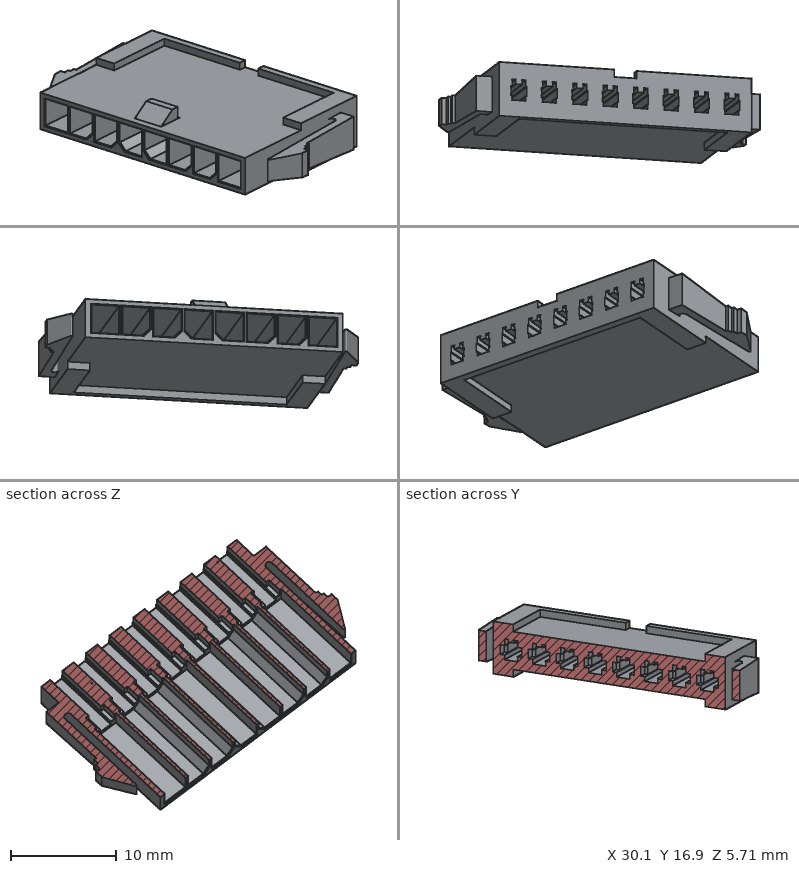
import cadquery as cq


body_width = 24.88
body_length = 16.9
body_height = 3.8
flange_height = 5.23
flange_length = 8.4
flange_side_width = 2.15
rear_rail_width = 0.8
rear_rail_gap = 2.22

cell_count = 8
cell_pitch = 3.0
cell_width = 2.65
cell_height = 2.73
cell_depth = 9.92
cell_corner_cut = 0.72
lead_in = 0.1

LEFT = -1
RIGHT = 1
cut_corner_side = {1: RIGHT, 2: RIGHT, 3: LEFT, 4: LEFT, 5: RIGHT, 6: RIGHT}

passage_width = 1.35
passage_height = 2.0
passage_middle_width = 1.53
pocket_width = 2.25
pocket_height = 0.9
pocket_z = -0.1
pocket_depth = 1.5
key_width = 0.63
key_height = 0.27
key_lip_height = 0.45
key_lip_setback = 1.5

ramp_width = 3.2
ramp_height = 1.2
ramp_front = 0.8
ramp_crest_front = 2.52
ramp_back = 3.35
ramp_foot_length = 0.27
ramp_foot_height = 0.12

overall_width = 30.05
arm_gap = 0.72
arm_thickness = 0.85
arm_back = 14.45
arm_root_front = 13.0
hook_apex = 2.15
hook_tip_radius = 0.105
step_width = 0.27
step_length = 0.55
step_start = 7.4
hook_slope_start = 5.4
arm_back_height = 3.43
hook_apex_height = 2.15

wall_depth = body_length - cell_depth


def block(width, length, height, x=0, y=0, z=0):
    """Box centred on x and z, starting at y and running to the rear."""
    box = cq.Workplane("XY").box(width, length, height, centered=(True, False, True))
    return box.translate((x, y, z))


def make_body():
    """Flat body with a raised U-shaped rear flange on both broad faces, split at the top rail."""
    body = block(body_width, body_length, body_height)
    flange_front = body_length - flange_length
    flange = block(body_width, flange_length, flange_height, y=flange_front)
    recess_width = body_width - 2 * flange_side_width
    recess_length = flange_length - rear_rail_width
    recess = block(recess_width, recess_length, flange_height, y=flange_front)
    rail_front = body_length - rear_rail_width
    top_gap = block(rear_rail_gap, rear_rail_width, flange_height, y=rail_front, z=flange_height / 2)
    return body.union(flange.cut(recess).cut(top_gap))


def cell_outline(plane, margin, cut_side):
    """Cell section grown by margin, with one lower corner cut off when cut_side is given."""
    half_width = cell_width / 2 + margin
    half_height = cell_height / 2 + margin
    if cut_side is None:
        return plane.rect(2 * half_width, 2 * half_height)
    return plane.polyline([
        (cut_side * half_width, half_height),
        (-cut_side * half_width, half_height),
        (-cut_side * half_width, -half_height),
        (cut_side * (half_width - cell_corner_cut), -half_height),
        (cut_side * half_width, -half_height + cell_corner_cut),
    ]).close()


def make_cell(cut_side):
    """Cell cavity with a bevelled mouth."""
    mouth_plane = cq.Workplane("XZ")
    cavity = cell_outline(mouth_plane, 0, cut_side).extrude(-cell_depth)
    bevel_plane = cell_outline(mouth_plane, lead_in, cut_side)
    bevel = cell_outline(bevel_plane.workplane(offset=-lead_in), 0, cut_side).loft(ruled=True)
    return cavity.union(bevel)


def make_passage():
    """Stepped opening from the cell floor through the rear face."""
    passage = block(passage_width, wall_depth, passage_height, y=cell_depth)
    key_top = passage_height / 2
    passage = passage.cut(block(key_width, wall_depth, 2 * key_height, y=cell_depth, z=key_top))
    lip_length = wall_depth - key_lip_setback
    lip_front = cell_depth + key_lip_setback
    passage = passage.cut(block(key_width, lip_length, 2 * key_lip_height, y=lip_front, z=key_top))
    middle = block(passage_middle_width, wall_depth, pocket_height, y=cell_depth, z=pocket_z)
    pockets = block(pocket_width, pocket_depth, pocket_height, y=cell_depth, z=pocket_z)
    return passage.union(middle).union(pockets)


def make_ramp():
    """Locking ramp rising toward the rear, with a small sloped foot behind its back face."""
    base = body_height / 2
    profile = [
        (ramp_front, base),
        (ramp_crest_front, base + ramp_height),
        (ramp_back, base + ramp_height),
        (ramp_back, base + ramp_foot_height),
        (ramp_back + ramp_foot_length, base),
    ]
    return cq.Workplane("YZ").polyline(profile).close().extrude(ramp_width / 2, both=True)


def make_arm():
    """Latch arm on the +X side: stepped hook outline whose height tapers toward the tip."""
    body_side = body_width / 2
    inner = body_side + arm_gap
    outer = inner + arm_thickness
    gap_radius = arm_gap / 2
    outline = (
        cq.Workplane("XY")
        .moveTo(body_side, arm_back)
        .lineTo(outer, arm_back)
        .lineTo(outer, step_start)
        .lineTo(outer + step_width, step_start)
        .lineTo(outer + step_width, step_start - step_length)
        .lineTo(outer + 2 * step_width, step_start - step_length)
        .lineTo(outer + 2 * step_width, step_start - 2 * step_length)
        .lineTo(overall_width / 2, step_start - 2 * step_length)
        .lineTo(overall_width / 2, hook_slope_start)
        .lineTo(inner, hook_apex)
        .lineTo(inner, arm_root_front - gap_radius)
        .threePointArc((inner - gap_radius, arm_root_front), (body_side, arm_root_front - gap_radius))
        .close()
        .extrude(arm_back_height / 2, both=True)
    )
    outline = outline.edges("<Y").fillet(hook_tip_radius)
    taper_profile = [
        (hook_apex, -hook_apex_height / 2),
        (arm_back, -arm_back_height / 2),
        (arm_back, arm_back_height / 2),
        (hook_apex, hook_apex_height / 2),
    ]
    taper = cq.Workplane("YZ").polyline(taper_profile).close().extrude(overall_width / 2)
    return outline.intersect(taper)


result = make_body().union(make_ramp())

arm = make_arm()
result = result.union(arm).union(arm.mirror("YZ"))

passage = make_passage()
for index in range(cell_count):
    cell_x = (index - (cell_count - 1) / 2) * cell_pitch
    opening = make_cell(cut_corner_side.get(index)).union(passage)
    result = result.cut(opening.translate((cell_x, 0, 0)))